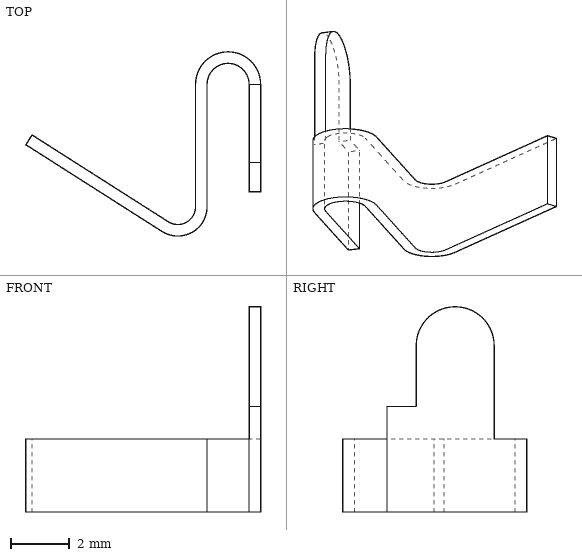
import cadquery as cq
import math

total_length = 8.0
total_width = 6.28
total_height = 7.0
thickness = 0.4
strip_height = 2.5

upper_radius = 1.11
lower_radius = 1.0
arm_angle = math.radians(32.5)

plate_length = 3.66
plate_height = 3.6
tab_width = 2.66

lower_x = total_length - 2 * upper_radius + thickness - lower_radius
lower_y = lower_radius
upper_x = total_length - upper_radius
upper_y = total_width - upper_radius

arm_length = (lower_x - lower_radius * math.sin(arm_angle)) / math.cos(arm_angle)


def lower_bend_point(radius, angle):
    """Point on the lower bend, with the angle measured clockwise from straight down."""
    return lower_x - radius * math.sin(angle), lower_y - radius * math.cos(angle)


def arm_tip(radius):
    """Free end of the arm edge that leaves the lower bend at the given radius."""
    x, y = lower_bend_point(radius, arm_angle)
    return x - arm_length * math.cos(arm_angle), y + arm_length * math.sin(arm_angle)


def make_strip():
    """Bent strip: slanted arm, lower bend, straight leg and upper bend."""
    lower_inner = lower_radius - thickness
    upper_inner = upper_radius - thickness
    mid_angle = (arm_angle - math.pi / 2) / 2
    return (
        cq.Workplane("XY")
        .moveTo(*arm_tip(lower_radius))
        .lineTo(*lower_bend_point(lower_radius, arm_angle))
        .threePointArc(lower_bend_point(lower_radius, mid_angle), (lower_x + lower_radius, lower_y))
        .lineTo(upper_x - upper_inner, upper_y)
        .threePointArc((upper_x, upper_y + upper_inner), (upper_x + upper_inner, upper_y))
        .lineTo(upper_x + upper_radius, upper_y)
        .threePointArc((upper_x, upper_y + upper_radius), (upper_x - upper_radius, upper_y))
        .lineTo(lower_x + lower_inner, lower_y)
        .threePointArc(
            lower_bend_point(lower_inner, mid_angle), lower_bend_point(lower_inner, arm_angle)
        )
        .lineTo(*arm_tip(lower_inner))
        .close()
        .extrude(strip_height)
    )


def make_plate():
    """Upright plate after the upper bend, stepped up to a round-topped tab."""
    tab_radius = tab_width / 2
    plate_end = upper_y - plate_length
    tab_end = upper_y - tab_width
    tab_shoulder = total_height - tab_radius
    return (
        cq.Workplane("YZ", origin=(total_length - thickness, 0, 0))
        .moveTo(upper_y, 0)
        .lineTo(upper_y, tab_shoulder)
        .threePointArc((upper_y - tab_radius, total_height), (tab_end, tab_shoulder))
        .lineTo(tab_end, plate_height)
        .lineTo(plate_end, plate_height)
        .lineTo(plate_end, 0)
        .close()
        .extrude(thickness)
    )


result = make_strip().union(make_plate())